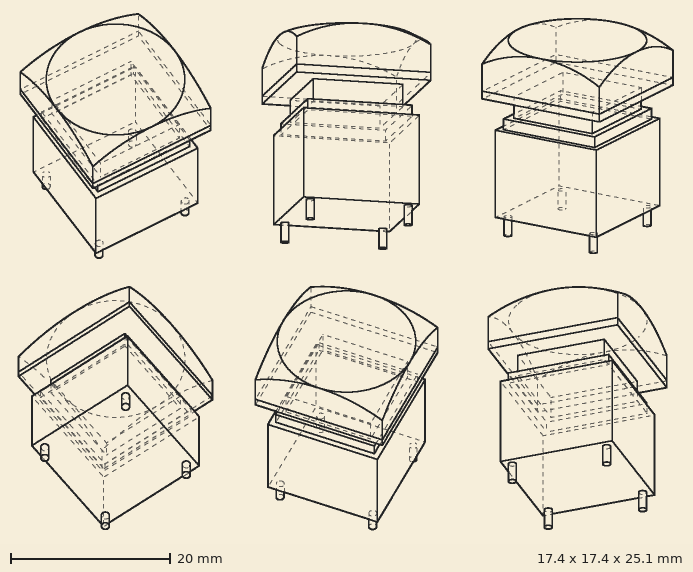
import cadquery as cq
import math

total_height = 25.1
pin_length = 2.48
housing_height = 11.52
collar_height = 1.4
plunger_height = 2.85
base_height = 1.03

cap_width = 17.4
housing_width = 15.0
collar_width = 13.5
plunger_width = 11.6

pin_diameter = 1.0
pin_pitch = 12.68

corner_drop = 2.23
dish_depth = 0.25

housing_bottom = pin_length
collar_bottom = housing_bottom + housing_height
plunger_bottom = collar_bottom + collar_height
base_bottom = plunger_bottom + plunger_height
lens_bottom = base_bottom + base_height
lens_height = total_height - lens_bottom


def square_block(width, bottom, height):
    """Square block centred on the Z axis."""
    return cq.Workplane("XY").workplane(offset=bottom).rect(width, width).extrude(height)


def make_housing():
    """Housing with its collar and four round terminal pins."""
    body = square_block(housing_width, housing_bottom, housing_height)
    collar = square_block(collar_width, collar_bottom, collar_height)
    pins = (
        cq.Workplane("XY")
        .rect(pin_pitch, pin_pitch, forConstruction=True)
        .vertices()
        .circle(pin_diameter / 2)
        .extrude(pin_length)
    )
    return body.union(collar).union(pins).solids()


def make_plunger():
    """Square neck that carries the cap."""
    return square_block(plunger_width, plunger_bottom, plunger_height)


def make_cap_base():
    """Thin square plate under the lens."""
    return square_block(cap_width, base_bottom, base_height)


def make_lens():
    """Square lens with domed corners and a shallow round finger dish."""
    rim_radius = cap_width / 2
    rim_above_center = (rim_radius**2 + corner_drop**2) / (2 * corner_drop)
    dome_radius = math.hypot(rim_radius, rim_above_center)
    dome = cq.Workplane("XY").sphere(dome_radius).translate((0, 0, total_height - rim_above_center))

    dish_radius = (rim_radius**2 + dish_depth**2) / (2 * dish_depth)
    dish_center = total_height - dish_depth + dish_radius
    dish = cq.Workplane("XY").sphere(dish_radius).translate((0, 0, dish_center))

    dome_rise = dome_radius - rim_above_center
    block = square_block(cap_width, lens_bottom, lens_height + dome_rise)
    return block.intersect(dome).cut(dish).solids()


housing = make_housing()
plunger = make_plunger()
cap_base = make_cap_base()
lens = make_lens()

result = cq.Compound.makeCompound([housing.val(), plunger.val(), cap_base.val(), lens.val()])